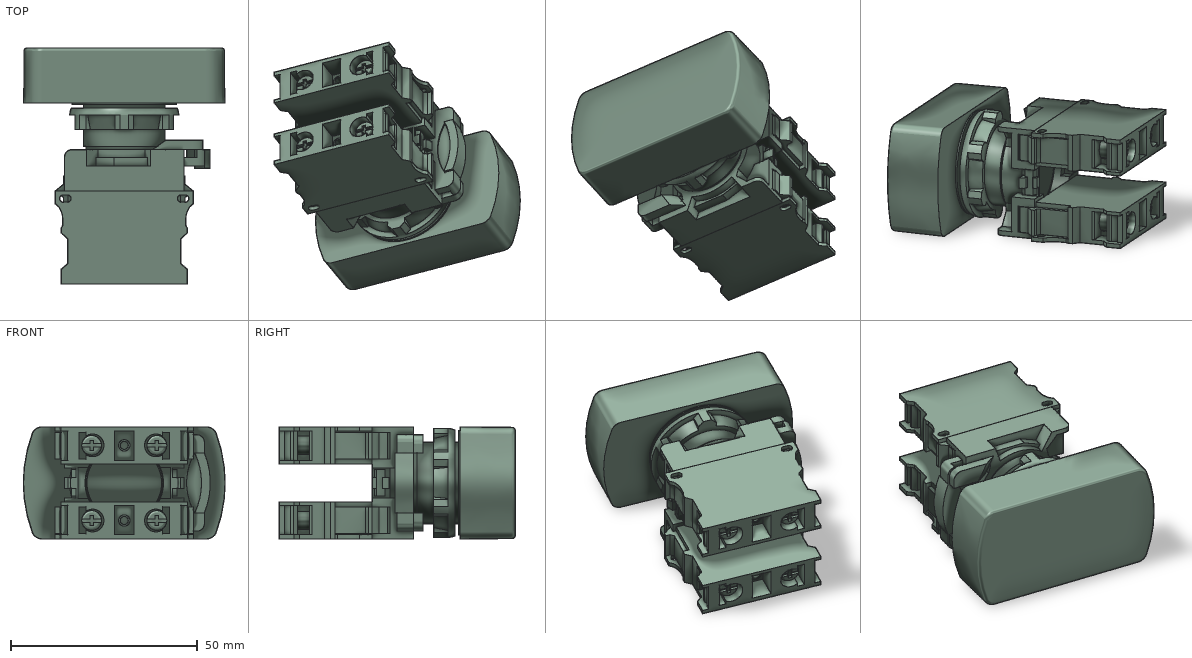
import cadquery as cq

width = 54.0
length = 63.2
height = 30.0
half_height = height / 2

cap_depth = 14.8
cap_side_radius = 37.9
cap_corner_radius = 2.9
cap_draft = 0.5
cap_edge_round = 0.95

gasket_radius = 13.95
gasket_thickness = 0.45
barrel_radius = 10.95
barrel_end = -11.55
neck_radius = 10.3
neck_end = -18.95
neck_chamfer = 0.3
nut_top = -1.3
flange_radius = 14.6
flange_top_radius = 14.15
flange_bulge_radius = 14.5
flange_bulge = -2.3
flange_bottom = -3.2
nut_bottom = -7.1
nut_tooth_count = 6
tooth_tip_half = 1.2
tooth_tip_height = (flange_radius**2 - tooth_tip_half**2) ** 0.5
tooth_root_half = 2.5
tooth_root_height = 13.2
nut_core_top_radius = 12.95
nut_core_bottom_radius = 12.2

base_half = 16.0
base_top = -12.45
base_shoulder = -16.9
base_bottom = -23.5
base_plate_bottom = 13.65
base_corner = 1.95
box_inner = 4.0
core_radius = 12.0
core_bottom = -18.7
center_half = 12.95
bore_radius = 10.5
window_half_x = 12.4
window_half_z = 4.2
window_depth = 2.5
web_top_half = 11.7
web_bend_half = 8.55
web_bend = 10.1
web_root_half = 9.1
web_root = 7.85
notch_top_left = -10.05
notch_top_right = 7.0
notch_floor_left = -7.0
notch_floor_right = 5.25
notch_floor = 9.75
collar_left = -7.6
collar_step = -2.8
collar_right = 6.2
collar_top = -14.55
collar_low = 10.75
collar_high = 12.65

snap_block_out = 14.15
snap_block_top = -20.05
snap_block_bottom = -22.3
snap_block_foot = -22.95
snap_block_half = 3.55
snap_rib_out = 14.4
snap_tab_tip = 15.05
snap_tab_top = -18.95
snap_tab_bottom = -20.7
snap_tab_half = 1.45

arm_top = -9.9
arm_slope_low = 7.6
arm_slope_high = 11.05
arm_skew = 2.5
arm_end = 21.05
arm_inner = 8.0
arm_outer = 12.9
arm_round = 2.5
plate_round = 2.0
handle_bottom = -17.45
handle_inner_end = 18.85
handle_inner_mid = 20.65
handle_outer_end = 21.4
handle_outer_mid = 23.0
post_start = 19.4
pad_mid = 16.7
pad_bottom = -16.55

block_inner = 5.05
block_end = cap_depth - length
outer_plate_bottom = 13.85
inner_plate_top = 6.0
ear_half = 18.45
ear_straight_end = -26.9
waist_start = (17.5, -27.8)
waist_bend = (16.7, -29.6)
waist_half = 16.5
waist_arc_end = -31.5
waist_end = -32.75
rear_half = 16.9
rear_start = -33.45
neck_slope_start = -34.7
neck_start = -36.3
neck_stop = -43.0
neck_slope_end = -44.4
neck_half = 15.15
core_half = 15.1
strap_half = 16.3
strap_low = 6.4
strap_high = 13.5
strap_front = -19.45
hook_start = -21.75
hook_back = -24.45
hook_foot = -25.3
hook_step = 17.2
slot_x = 15.75
slot_y = -25.55
slot_length = 3.05
slot_width = 1.9

screw_x = 8.7
bore_x = 8.5
terminal_z = 10.05
terminal_bore_radius = 3.05
terminal_depth = 8.15
wire_slot_inner = 10.25
wire_slot_outer = 12.15
side_port_mouth = -39.6
side_port_top = -40.25
side_port_bottom = -43.5
pier_slope_end = -44.55
pier_step = -45.3
pier_shoulder = -46.95
pier_low_half = 14.0
side_port_lip = 14.7
screw_radius = 2.65
screw_head_top = -46.75
screw_round = 0.7
drive_width = 0.95
drive_half = 1.3
drive_depth = 0.75
pocket_half = 2.65
pocket_depth = 6.3
boss_radius = 1.5
boss_hole_radius = 1.1
boss_height = 1.9


def block(x0, x1, y0, y1, z0, z1):
    """Box between two opposite corners."""
    return cq.Workplane("XY").box(x1 - x0, y1 - y0, z1 - z0, centered=False).translate((x0, y0, z0))


def cylinder(radius, y_high, y_low):
    """Cylinder on the push axis, from y_high down to y_low."""
    return cq.Workplane("XZ", origin=(0, y_high, 0)).circle(radius).extrude(y_high - y_low)


def slab(points, z0, z1):
    """Outline of (X, Y) points raised from z0 to z1."""
    return cq.Workplane("XY", origin=(0, 0, z0)).polyline(points).close().extrude(z1 - z0)


def both_sides(shape):
    """The shape together with its mirror image across the YZ plane."""
    return shape.union(shape.mirror("YZ"))


def button_cap():
    half_width = width / 2
    corner_x = half_width - cap_side_radius + (cap_side_radius**2 - half_height**2) ** 0.5
    outline = (
        cq.Workplane("XZ")
        .moveTo(-corner_x, half_height)
        .lineTo(corner_x, half_height)
        .threePointArc((half_width, 0), (corner_x, -half_height))
        .lineTo(-corner_x, -half_height)
        .threePointArc((-half_width, 0), (-corner_x, half_height))
        .close()
    )
    cap = outline.extrude(-cap_depth, taper=cap_draft)
    corners = cap.edges("not(#Y)").edges("not(<Y or >Y)")
    cap = corners.fillet(cap_corner_radius)
    return cap.faces(">Y").edges().fillet(cap_edge_round)


def nut():
    core = (
        cq.Workplane("XY")
        .moveTo(0, nut_top)
        .lineTo(flange_top_radius, nut_top)
        .threePointArc((flange_bulge_radius, flange_bulge), (flange_radius, flange_bottom))
        .lineTo(nut_core_top_radius, flange_bottom)
        .lineTo(nut_core_bottom_radius, nut_bottom)
        .lineTo(0, nut_bottom)
        .close()
        .revolve(360, (0, 0, 0), (0, 1, 0))
    )
    tooth = (
        cq.Workplane("XZ", origin=(0, flange_bottom, 0))
        .moveTo(-tooth_root_half, 0)
        .lineTo(-tooth_root_half, tooth_root_height)
        .lineTo(-tooth_tip_half, tooth_tip_height)
        .threePointArc((0, flange_radius), (tooth_tip_half, tooth_tip_height))
        .lineTo(tooth_root_half, tooth_root_height)
        .lineTo(tooth_root_half, 0)
        .close()
        .extrude(flange_bottom - nut_bottom)
    )
    for index in range(nut_tooth_count):
        core = core.union(tooth.rotate((0, 0, 0), (0, 1, 0), index * 360 / nut_tooth_count))
    return core


def operator_head():
    neck = cylinder(neck_radius, barrel_end, neck_end).faces("<Y").edges().chamfer(neck_chamfer)
    return (
        button_cap()
        .union(cylinder(gasket_radius, 0, -gasket_thickness))
        .union(cylinder(barrel_radius, 0, barrel_end))
        .union(neck)
        .union(nut())
    )


def base_half_shell():
    """Box, top plate and sloped web on the +Z side of the base."""
    box = block(-base_half, base_half, base_bottom, base_shoulder, box_inner, half_height)
    plate = block(-base_half, base_half, base_shoulder, base_top, base_plate_bottom, half_height)
    plate = plate.edges("|Z and <X and >Y").fillet(base_corner)
    web = (
        cq.Workplane("XZ", origin=(0, base_top, 0))
        .moveTo(-web_top_half, base_plate_bottom)
        .lineTo(web_top_half, base_plate_bottom)
        .lineTo(web_bend_half, web_bend)
        .lineTo(web_root_half, web_root)
        .lineTo(-web_root_half, web_root)
        .lineTo(-web_bend_half, web_bend)
        .close()
        .extrude(base_top - base_shoulder)
    )
    notch = (
        cq.Workplane("XZ", origin=(0, base_top, 0))
        .moveTo(notch_top_left, half_height)
        .lineTo(notch_top_right, half_height)
        .lineTo(notch_floor_right, notch_floor)
        .lineTo(notch_floor_left, notch_floor)
        .close()
        .extrude(base_top - base_shoulder)
    )
    collar = (
        cq.Workplane("XZ", origin=(0, collar_top, 0))
        .moveTo(collar_left, web_root)
        .lineTo(collar_left, collar_low)
        .lineTo(collar_step, collar_high)
        .lineTo(collar_right, collar_high)
        .lineTo(collar_right, web_root)
        .close()
        .extrude(collar_top - base_shoulder)
    )
    return box.union(plate).union(web).cut(notch).union(collar)


def snap_tab():
    """Snap block, rib and wedge on the -X side of the base."""
    tab = slab(
        [
            (-center_half, snap_tab_top),
            (-base_half, snap_tab_top),
            (-snap_tab_tip, snap_tab_bottom),
            (-center_half, snap_tab_bottom),
        ],
        -snap_tab_half,
        snap_tab_half,
    )
    snap = slab(
        [
            (-center_half, snap_block_top),
            (-snap_block_out, snap_block_top),
            (-snap_block_out, snap_block_bottom),
            (-center_half, snap_block_foot),
        ],
        -snap_block_half,
        snap_block_half,
    )
    rib = block(-snap_rib_out, -center_half, base_bottom, snap_block_bottom, -snap_tab_half, snap_tab_half)
    return tab.union(snap).union(rib)


def lever_arm():
    """Arm on the +Z side, with a skewed end that slopes up from the top of the base."""
    arm = (
        cq.Workplane("XY", origin=(0, 0, arm_inner))
        .polyline(arm_outline(arm_skew))
        .close()
        .workplane(offset=arm_outer - arm_inner)
        .polyline(arm_outline(0))
        .close()
        .loft(ruled=True)
    )
    arm = arm.edges("|Y and >X and >Z").fillet(arm_round)
    post = block(arm_slope_high, base_half, base_shoulder, base_top, arm_inner, base_plate_bottom)
    return arm.union(post)


def arm_outline(shift):
    """Arm outline whose sloping end is moved along X by the shift."""
    return [
        (arm_slope_low + shift, base_top),
        (arm_slope_high + shift, arm_top),
        (arm_end, arm_top),
        (arm_end, base_top),
    ]


def handle_pad(bottom):
    """Lens-shaped pad inside the bow of the handle, down to the given level."""
    return (
        cq.Workplane("XZ", origin=(0, base_top, 0))
        .moveTo(handle_inner_end, -arm_inner)
        .threePointArc((handle_inner_mid, 0), (handle_inner_end, arm_inner))
        .threePointArc((pad_mid, 0), (handle_inner_end, -arm_inner))
        .close()
        .extrude(base_top - bottom)
    )


def lever_handle():
    """Bowed handle with the plate, end posts and pad that join it to the base."""
    handle = (
        cq.Workplane("XZ", origin=(0, base_top, 0))
        .moveTo(handle_inner_end, -arm_inner)
        .lineTo(handle_outer_end, -arm_inner)
        .threePointArc((handle_outer_mid, 0), (handle_outer_end, arm_inner))
        .lineTo(handle_inner_end, arm_inner)
        .threePointArc((handle_inner_mid, 0), (handle_inner_end, -arm_inner))
        .close()
        .extrude(base_top - handle_bottom)
    )
    pad_space = handle_pad(base_shoulder)
    pad = handle_pad(pad_bottom)
    plate = block(center_half, handle_outer_end, base_shoulder, base_top, -arm_outer, arm_outer)
    plate = plate.edges("|Y and >X").fillet(plate_round)
    gap = block(center_half, post_start, collar_top, base_top, -arm_outer, arm_outer)
    gap = gap.union(block(post_start, handle_outer_mid, collar_top, base_top, -arm_inner, arm_inner))
    overhang = block(handle_inner_end, handle_outer_mid, base_shoulder, base_top, -arm_inner, arm_inner)
    return plate.cut(gap).cut(overhang).cut(pad_space).union(handle).union(pad)


def strap_pocket():
    """Pocket in the -X, +Z side of the base for the strap of a contact block."""
    return block(-base_half, -core_half, base_bottom, core_bottom, strap_low, strap_high)


def mounting_base():
    shell = base_half_shell().cut(both_sides(strap_pocket()))
    center = block(-center_half, center_half, base_bottom, core_bottom, -box_inner, box_inner)
    base = shell.union(shell.mirror("XY")).union(center).union(cylinder(core_radius, base_top, base_bottom))
    base = base.union(both_sides(snap_tab()))
    base = base.union(lever_arm()).union(lever_arm().mirror("XY")).union(lever_handle())
    window = block(
        -window_half_x, window_half_x, base_bottom, base_bottom + window_depth, -window_half_z, window_half_z
    )
    base = base.cut(window)
    base = base.cut(cylinder(bore_radius, neck_end, base_bottom))
    return base.cut(cylinder(neck_radius, base_top, neck_end))


def half_outline(points, z0, z1):
    """Slab whose left edge follows the points, mirrored to the right."""
    return slab(points + [(-x, y) for x, y in reversed(points)], z0, z1)


def rear_points():
    """Left edge from the waist to the terminal end."""
    return [
        (-rear_half, rear_start),
        (-rear_half, neck_slope_start),
        (-neck_half, neck_start),
        (-neck_half, neck_stop),
        (-rear_half, neck_slope_end),
        (-rear_half, block_end),
    ]


def ear_plate():
    """Outer cover plate with ears, a concave waist and two slots."""
    edge = (
        cq.Workplane("XY", origin=(0, 0, outer_plate_bottom))
        .moveTo(0, base_bottom)
        .lineTo(-ear_half, base_bottom)
        .lineTo(-ear_half, ear_straight_end)
        .lineTo(-waist_start[0], waist_start[1])
        .threePointArc((-waist_bend[0], waist_bend[1]), (-waist_half, waist_arc_end))
        .lineTo(-waist_half, waist_end)
    )
    for x, y in rear_points():
        edge = edge.lineTo(x, y)
    plate = both_sides(edge.lineTo(0, block_end).close().extrude(half_height - outer_plate_bottom))
    slots = (
        cq.Workplane("XY", origin=(0, 0, outer_plate_bottom))
        .pushPoints([(-slot_x, slot_y), (slot_x, slot_y)])
        .slot2D(slot_length, slot_width)
        .extrude(half_height)
    )
    return plate.cut(slots)


def latch_strap():
    """Strap along the -X side, ending in a hook that snaps into the base."""
    return slab(
        [
            (-core_half, strap_front),
            (-strap_half, strap_front),
            (-strap_half, hook_start),
            (-ear_half, base_bottom),
            (-ear_half, hook_back),
            (-hook_step, hook_back),
            (-strap_half, hook_foot),
            (-strap_half, rear_start),
            (-core_half, rear_start),
        ],
        strap_low,
        strap_high,
    )


def side_cut():
    """Recess between the plates at the -X side of the terminal end."""
    port = slab(
        [
            (-rear_half, side_port_mouth),
            (-neck_half, side_port_mouth),
            (-side_port_lip, side_port_top),
            (-wire_slot_inner, side_port_top),
            (-wire_slot_inner, side_port_bottom),
            (-rear_half, side_port_bottom),
        ],
        inner_plate_top,
        outer_plate_bottom,
    )
    pier = slab(
        [
            (-rear_half, side_port_bottom),
            (-pier_low_half, side_port_bottom),
            (-neck_half, pier_slope_end),
            (-neck_half, pier_step),
            (-pier_low_half, pier_shoulder),
            (-neck_half, pier_shoulder),
            (-neck_half, block_end),
            (-rear_half, block_end),
        ],
        inner_plate_top,
        outer_plate_bottom,
    )
    return port.union(pier)


def terminal_bore():
    """Screw bore and wire slot on the -X side."""
    bore_top = block_end + terminal_depth
    bore = cylinder(terminal_bore_radius, bore_top, block_end).translate((-bore_x, 0, terminal_z))
    slot = block(-wire_slot_outer, -wire_slot_inner, block_end, bore_top, strap_low, strap_high)
    return bore.union(slot)


def terminal_screw():
    """Screw head with a cross recess on the -X side."""
    head = cylinder(screw_radius, block_end + terminal_depth, screw_head_top)
    head = head.faces("<Y").edges().fillet(screw_round)
    y_deep = screw_head_top + drive_depth
    half = drive_width / 2
    slot = block(-screw_radius, screw_radius, screw_head_top, y_deep, -half, half)
    cross = block(-half, half, screw_head_top, y_deep, -drive_half, drive_half)
    return head.cut(slot).cut(cross).translate((-screw_x, 0, terminal_z))


def center_pocket():
    """Rectangular pocket with a hollow boss on its floor."""
    floor = block_end + pocket_depth
    pocket = block(-pocket_half, pocket_half, block_end, floor, inner_plate_top, outer_plate_bottom)
    boss = cylinder(boss_radius, floor, floor - boss_height)
    boss = boss.cut(cylinder(boss_hole_radius, floor, floor - boss_height))
    return pocket.cut(boss.translate((0, 0, terminal_z)))


def contact_block(side):
    """Contact block on the +Z (side = 1) or -Z (side = -1) half of the base."""
    body = half_outline(
        [(-core_half, base_bottom), (-core_half, rear_start)] + rear_points(), block_inner, outer_plate_bottom
    )
    body = body.union(ear_plate()).union(both_sides(latch_strap()))
    body = body.cut(both_sides(side_cut())).cut(both_sides(terminal_bore())).cut(center_pocket())
    body = body.union(both_sides(terminal_screw()))
    if side < 0:
        body = body.mirror("XY")
    return body


head = operator_head()
base = mounting_base()
contact_blocks = [contact_block(side) for side in (1, -1)]
result = cq.Compound.makeCompound([head.val(), base.val(), *[body.val() for body in contact_blocks]])